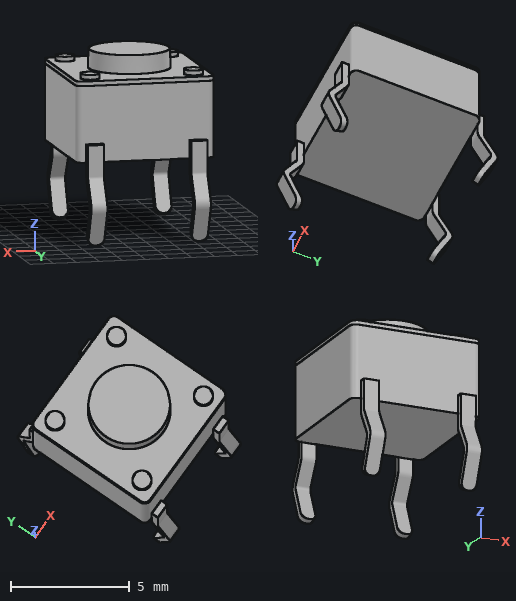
import cadquery as cq
import math


body_width = 6.0
body_half = body_width / 2
body_corner_radius = 0.3
housing_bottom = 3.51
housing_height = 3.29
cover_thickness = 0.2
cover_bottom = housing_bottom + housing_height
cover_top = cover_bottom + cover_thickness

total_height = 7.8
button_base_diameter = 3.5
button_top_diameter = 3.435
button_height = total_height - cover_top
post_diameter = 0.8
post_height = 0.205
corner_spacing = 4.49

leg_span = 7.88
leg_width = 0.7
leg_thickness = 0.315
leg_top = 4.3
leg_tip_radius = 0.3
bend_inner_radius = 0.2
bend_outer_radius = bend_inner_radius + leg_thickness
splay_angle = 30.0
tail_angle = 22.6
tail_length = 1.59


def square_block(bottom, height):
    """Square block with rounded vertical corners."""
    return (
        cq.Workplane("XY")
        .workplane(offset=bottom)
        .rect(body_width, body_width)
        .extrude(height)
        .edges("|Z")
        .fillet(body_corner_radius)
    )


def make_cover():
    """Cover plate carrying the tapered button and four corner posts."""
    plate = square_block(cover_bottom, cover_thickness)
    button = cq.Workplane(
        cq.Solid.makeCone(
            button_base_diameter / 2,
            button_top_diameter / 2,
            button_height,
            pnt=cq.Vector(0, 0, cover_top),
        )
    )
    posts = (
        cq.Workplane("XY")
        .workplane(offset=cover_top)
        .rect(corner_spacing, corner_spacing, forConstruction=True)
        .vertices()
        .circle(post_diameter / 2)
        .extrude(post_height)
    )
    return plate.union(button).union(posts)


def on_circle(center, radius, degrees):
    """Point at an angle on a circle in the YZ plane."""
    angle = math.radians(degrees)
    return (center[0] + radius * math.cos(angle), center[1] + radius * math.sin(angle))


def make_leg(x_center):
    """Leg on the +Y side: straight down, bent outward, then bent back inward."""
    splay = math.radians(splay_angle)
    tail = math.radians(tail_angle)

    knee = (
        leg_span / 2 - bend_outer_radius,
        bend_outer_radius * math.sin(tail) + tail_length * math.cos(tail),
    )
    shoulder_y = body_half + bend_outer_radius
    radius_sum = bend_inner_radius + bend_outer_radius
    shoulder_rise = (radius_sum - (shoulder_y - knee[0]) * math.cos(splay)) / math.sin(splay)
    shoulder = (shoulder_y, knee[1] + shoulder_rise)

    def tip_point(radius):
        start = on_circle(knee, radius, -tail_angle)
        return (start[0] - tail_length * math.sin(tail), start[1] - tail_length * math.cos(tail))

    shoulder_start = 180
    shoulder_end = 180 + splay_angle
    shoulder_middle = (shoulder_start + shoulder_end) / 2
    knee_middle = (splay_angle - tail_angle) / 2

    leg = (
        cq.Workplane("YZ")
        .workplane(offset=x_center - leg_width / 2)
        .moveTo(body_half, leg_top)
        .lineTo(body_half + leg_thickness, leg_top)
        .lineTo(*on_circle(shoulder, bend_inner_radius, shoulder_start))
        .threePointArc(
            on_circle(shoulder, bend_inner_radius, shoulder_middle),
            on_circle(shoulder, bend_inner_radius, shoulder_end),
        )
        .lineTo(*on_circle(knee, bend_outer_radius, splay_angle))
        .threePointArc(
            on_circle(knee, bend_outer_radius, knee_middle),
            on_circle(knee, bend_outer_radius, -tail_angle),
        )
        .lineTo(*tip_point(bend_outer_radius))
        .lineTo(*tip_point(bend_inner_radius))
        .lineTo(*on_circle(knee, bend_inner_radius, -tail_angle))
        .threePointArc(
            on_circle(knee, bend_inner_radius, knee_middle),
            on_circle(knee, bend_inner_radius, splay_angle),
        )
        .lineTo(*on_circle(shoulder, bend_outer_radius, shoulder_end))
        .threePointArc(
            on_circle(shoulder, bend_outer_radius, shoulder_middle),
            on_circle(shoulder, bend_outer_radius, shoulder_start),
        )
        .close()
        .extrude(leg_width)
    )
    return leg.faces("<Z").edges("#X").fillet(leg_tip_radius)


housing = square_block(housing_bottom, housing_height)
cover = make_cover()

legs = []
for x_center in (-corner_spacing / 2, corner_spacing / 2):
    leg = make_leg(x_center)
    legs.append(leg.val())
    legs.append(leg.mirror("XZ").val())

result = cq.Compound.makeCompound([housing.val(), cover.val(), *legs])